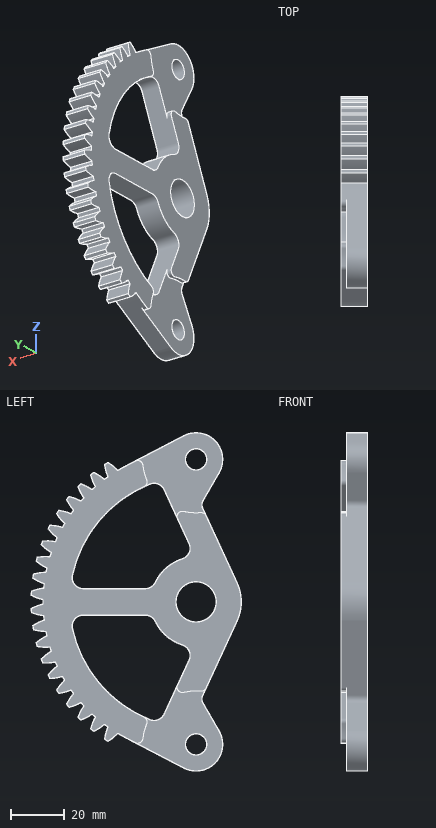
import cadquery as cq
import math

thickness = 10.0
ear_recess_depth = 2.0

pitch_radius = 60.0
full_circle_teeth = 60
teeth_on_sector = 20
pressure_angle = math.radians(20)
dedendum_factor = 1.25
flank_points = 5
module = 2 * pitch_radius / full_circle_teeth
tip_radius = pitch_radius + module
root_radius = pitch_radius - dedendum_factor * module
base_radius = pitch_radius * math.cos(pressure_angle)
tooth_overlap = 0.6

hub_radius = 17.0
bore_radius = 7.5
arm_angle = math.radians(24.8)
arm_width = 10.3
spoke_width = 10.0
rim_width = 10.0
window_fillet = 4.1

ear_radius = 10.0
overall_height = 127
ear_offset = overall_height / 2 - ear_radius
ear_hole_radius = 4.0
ear_flank_angle = math.radians(30)
ear_arm_fillet = 3.0
ear_recess_radius = 2 * ear_radius
recess_corner_fillet = 2.0

rim_inner_radius = root_radius - rim_width


def polar(radius, angle, center=(0, 0)):
    """Point at an angle measured from +Y towards +Z."""
    return (center[0] + radius * math.cos(angle), center[1] + radius * math.sin(angle))


def tangent_corner(radius_a, angle_a, radius_b, angle_b, center_b):
    """Meeting point of tangents to circle A (at the origin) and circle B, given their normals."""
    reach_b = radius_b + center_b[0] * math.cos(angle_b) + center_b[1] * math.sin(angle_b)
    determinant = math.sin(angle_b - angle_a)
    y = (radius_a * math.sin(angle_b) - reach_b * math.sin(angle_a)) / determinant
    z = (reach_b * math.cos(angle_a) - radius_a * math.cos(angle_b)) / determinant
    return (y, z)


ear_center = (0, ear_offset)
arm_normal = math.pi - arm_angle
ear_flank_normal = math.pi + ear_flank_angle
shoulder_normal = math.asin((root_radius - ear_radius) / ear_offset)
arm_ear_corner = tangent_corner(hub_radius, arm_normal, ear_radius, ear_flank_normal, ear_center)


def half_body():
    """Outline above the Y axis, without teeth or openings."""
    return (
        cq.Workplane("YZ")
        .moveTo(-hub_radius, 0)
        .threePointArc(polar(hub_radius, (math.pi + arm_normal) / 2), polar(hub_radius, arm_normal))
        .lineTo(*arm_ear_corner)
        .lineTo(*polar(ear_radius, ear_flank_normal, ear_center))
        .threePointArc(
            polar(ear_radius, (ear_flank_normal + shoulder_normal) / 2, ear_center),
            polar(ear_radius, shoulder_normal, ear_center),
        )
        .lineTo(*polar(root_radius, shoulder_normal))
        .threePointArc(polar(root_radius, shoulder_normal / 2), (root_radius, 0))
        .close()
        .extrude(thickness)
        .edges(cq.selectors.NearestToPointSelector((thickness / 2, *arm_ear_corner)))
        .fillet(ear_arm_fillet)
    )


def involute(angle):
    """Involute function of a pressure angle."""
    return math.tan(angle) - angle


def tooth_half_angle(radius):
    """Half the angle a tooth spans at the given radius."""
    half_at_pitch = math.pi / (2 * full_circle_teeth)
    return half_at_pitch + involute(pressure_angle) - involute(math.acos(base_radius / radius))


def tooth():
    """One tooth pointing along +Y, sunk slightly into the rim."""
    step = (tip_radius - root_radius) / (flank_points - 1)
    radii = [root_radius + i * step for i in range(flank_points)]
    lower_flank = [polar(r, -tooth_half_angle(r)) for r in radii]
    upper_flank = [(y, -z) for y, z in reversed(lower_flank)]
    foot = root_radius - tooth_overlap
    return (
        cq.Workplane("YZ")
        .moveTo(foot, lower_flank[0][1])
        .lineTo(*lower_flank[0])
        .spline(lower_flank[1:], includeCurrent=True)
        .threePointArc((tip_radius, 0), upper_flank[0])
        .spline(upper_flank[1:], includeCurrent=True)
        .lineTo(foot, upper_flank[-1][1])
        .close()
        .extrude(thickness)
    )


def window():
    """Opening between the rim, the spoke, the upper arm and the hub."""
    arm_inner_reach = hub_radius - arm_width
    spoke_edge = spoke_width / 2
    arm_direction = arm_normal - math.pi / 2
    foot = polar(arm_inner_reach, arm_normal)
    beyond_rim = 2 * root_radius
    far = polar(beyond_rim, arm_direction, foot)
    spoke_start = (foot[0] + (spoke_edge - foot[1]) / math.tan(arm_direction), spoke_edge)
    wedge = (
        cq.Workplane("YZ")
        .polyline([spoke_start, (beyond_rim, spoke_edge), far])
        .close()
        .extrude(thickness)
    )
    ring = cq.Workplane("YZ").circle(rim_inner_radius).circle(hub_radius).extrude(thickness)
    return wedge.intersect(ring).edges("|X").fillet(window_fillet)


def mirrored_pair(solid):
    """The solid together with its mirror image below the Y axis."""
    return solid.union(solid.mirror("XY"))


body = mirrored_pair(half_body())
pitch_angle = 360 / full_circle_teeth
for i in range(teeth_on_sector):
    angle = (i - (teeth_on_sector - 1) / 2) * pitch_angle
    body = body.union(tooth().rotate((0, 0, 0), (1, 0, 0), angle))
body = body.cut(mirrored_pair(window()))
body = body.cut(cq.Workplane("YZ").circle(bore_radius).extrude(thickness))

ears = cq.Workplane("YZ").pushPoints([(0, ear_offset), (0, -ear_offset)])
body = body.cut(ears.circle(ear_hole_radius).extrude(thickness))
body = body.cut(ears.circle(ear_recess_radius).extrude(ear_recess_depth))

recess_corners = cq.selectors.BoxSelector(
    (0, -tip_radius, -tip_radius), (ear_recess_depth, tip_radius, tip_radius)
)
result = body.edges("|X").edges(recess_corners).fillet(recess_corner_fillet)